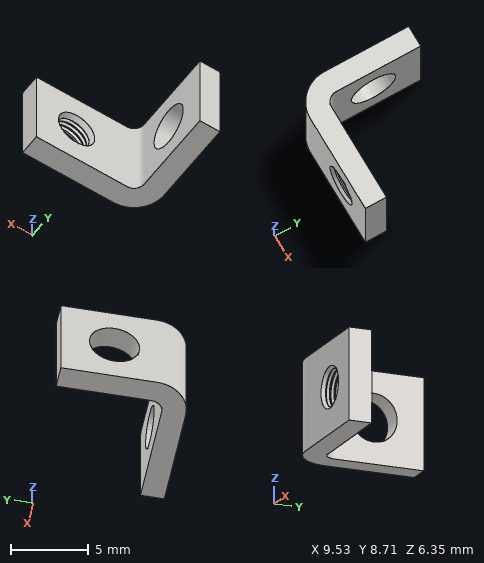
import cadquery as cq

length_x = 9.53
length_y = 8.71
height = 6.35
thickness = 1.59
outer_bend_radius = 2.38
inner_bend_radius = outer_bend_radius - thickness

clearance_diameter = 3.3
clearance_y = 5.17

thread_x = 6.36
minor_diameter = 2.53
major_diameter = 2.85
mouth_chamfer_depth = 0.25
groove_count = 3
thread_pitch = 0.32
groove_width = 0.27

hole_z = height / 2


def make_bracket():
    """L-shaped plate with concentric inner and outer bend radii."""
    plate = (
        cq.Workplane("XY")
        .moveTo(outer_bend_radius, 0)
        .lineTo(length_x, 0)
        .lineTo(length_x, thickness)
        .lineTo(outer_bend_radius, thickness)
        .radiusArc((thickness, outer_bend_radius), inner_bend_radius)
        .lineTo(thickness, length_y)
        .lineTo(0, length_y)
        .lineTo(0, outer_bend_radius)
        .radiusArc((outer_bend_radius, 0), -outer_bend_radius)
        .close()
        .extrude(height)
    )
    return plate


def make_clearance_hole():
    return (
        cq.Workplane("YZ")
        .center(clearance_y, hole_z)
        .circle(clearance_diameter / 2)
        .extrude(thickness)
    )


def make_threaded_hole():
    """Bore flared at both mouths, with ring-shaped V grooves filling the length between the flares."""
    minor_radius = minor_diameter / 2
    major_radius = major_diameter / 2
    profile = [(0, 0), (major_radius, 0), (minor_radius, mouth_chamfer_depth)]
    for groove in range(groove_count):
        groove_start = mouth_chamfer_depth + groove * thread_pitch
        profile.append((major_radius, groove_start + groove_width / 2))
        profile.append((minor_radius, groove_start + groove_width))
        if groove < groove_count - 1:
            profile.append((minor_radius, groove_start + thread_pitch))
    profile.append((major_radius, thickness))
    profile.append((0, thickness))
    return (
        cq.Workplane("XY")
        .polyline(profile)
        .close()
        .revolve(360, (0, 0), (0, 1))
        .translate((thread_x, 0, hole_z))
    )


result = make_bracket().cut(make_clearance_hole()).cut(make_threaded_hole())